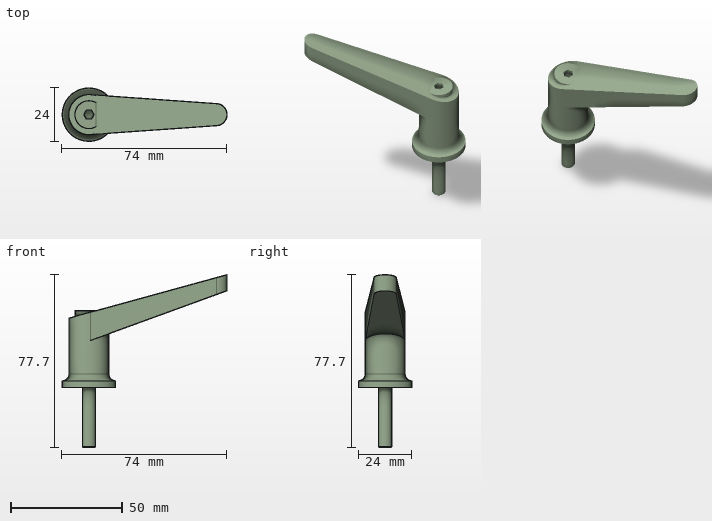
import cadquery as cq
import math


flange_radius = 12.0
flange_thickness = 3.0
post_radius = 9.0
flare_radius = flange_radius - post_radius

arm_tip_radius = 5.0
arm_tip_center_x = 57.0
arm_top_height_on_axis = 33.62
arm_top_angle = math.radians(15.37)
arm_bottom_height_on_axis = 20.85
arm_bottom_angle = math.radians(20.0)
arm_end_x = arm_tip_center_x + arm_tip_radius

button_radius = 6.25
button_top_height = 34.5
socket_across_flats = 4.0
socket_depth = 2.5
socket_cone_half_angle = math.radians(59.0)

stud_radius = 3.0
stud_length = 27.0
stud_chamfer = 0.5


def arm_top_height(x):
    return arm_top_height_on_axis + x * math.tan(arm_top_angle)


def arm_bottom_height(x):
    return arm_bottom_height_on_axis + x * math.tan(arm_bottom_angle)


def extrude_side_profile(points):
    """Extrude an XZ outline across the full width of the post."""
    return cq.Workplane("XZ").polyline(points).close().extrude(post_radius, both=True)


def make_post():
    """Flanged post with a concave flare, its top sliced along the arm's upper plane."""
    flare_top = flange_thickness + flare_radius
    arc_offset = flare_radius * math.sqrt(0.5)
    flare_middle = (flange_radius - arc_offset, flare_top - arc_offset)
    blank_height = arm_top_height(post_radius)
    blank = (
        cq.Workplane("XZ")
        .lineTo(flange_radius, 0)
        .lineTo(flange_radius, flange_thickness)
        .threePointArc(flare_middle, (post_radius, flare_top))
        .lineTo(post_radius, blank_height)
        .lineTo(0, blank_height)
        .close()
        .revolve(360, (0, 0, 0), (0, 1, 0))
    )
    waste = extrude_side_profile([
        (-post_radius, arm_top_height(-post_radius)),
        (post_radius, blank_height),
        (-post_radius, blank_height),
    ])
    return blank.cut(waste)


def make_arm():
    """Tapered lever: two arcs joined by tangent lines, bounded by two sloping planes."""
    taper_sine = (post_radius - arm_tip_radius) / arm_tip_center_x
    taper_cosine = math.sqrt(1 - taper_sine**2)
    root_x = post_radius * taper_sine
    root_y = post_radius * taper_cosine
    tip_x = arm_tip_center_x + arm_tip_radius * taper_sine
    tip_y = arm_tip_radius * taper_cosine
    plan = (
        cq.Workplane("XY")
        .moveTo(root_x, -root_y)
        .lineTo(tip_x, -tip_y)
        .threePointArc((arm_end_x, 0), (tip_x, tip_y))
        .lineTo(root_x, root_y)
        .threePointArc((-post_radius, 0), (root_x, -root_y))
        .close()
        .extrude(arm_top_height(arm_end_x))
    )
    wedge = extrude_side_profile([
        (-post_radius, arm_bottom_height(-post_radius)),
        (arm_end_x, arm_bottom_height(arm_end_x)),
        (arm_end_x, arm_top_height(arm_end_x)),
        (-post_radius, arm_top_height(-post_radius)),
    ])
    return plan.intersect(wedge)


def make_button():
    """Level disc that emerges from the low side of the sloping top."""
    button_base = arm_top_height(-button_radius)
    return (
        cq.Workplane("XY", origin=(0, 0, button_base))
        .circle(button_radius)
        .extrude(button_top_height - button_base)
    )


def make_socket():
    """Hexagon socket with corners along X and a conical floor."""
    corner_radius = socket_across_flats / math.sqrt(3)
    cone_depth = corner_radius / math.tan(socket_cone_half_angle)
    hexagon = (
        cq.Workplane("XY", origin=(0, 0, button_top_height))
        .polygon(6, 2 * corner_radius)
        .extrude(-(socket_depth + cone_depth))
    )
    cone_rim = button_top_height - socket_depth
    pointed_cylinder = (
        cq.Workplane("XZ")
        .moveTo(0, cone_rim - cone_depth)
        .lineTo(corner_radius, cone_rim)
        .lineTo(corner_radius, button_top_height)
        .lineTo(0, button_top_height)
        .close()
        .revolve(360, (0, 0, 0), (0, 1, 0))
    )
    return hexagon.intersect(pointed_cylinder)


def make_stud():
    """Plain stud below the flange with a chamfered end."""
    return cq.Workplane("XY").circle(stud_radius).extrude(-stud_length).faces("<Z").chamfer(stud_chamfer)


result = make_post().union(make_arm()).union(make_button()).union(make_stud()).cut(make_socket())